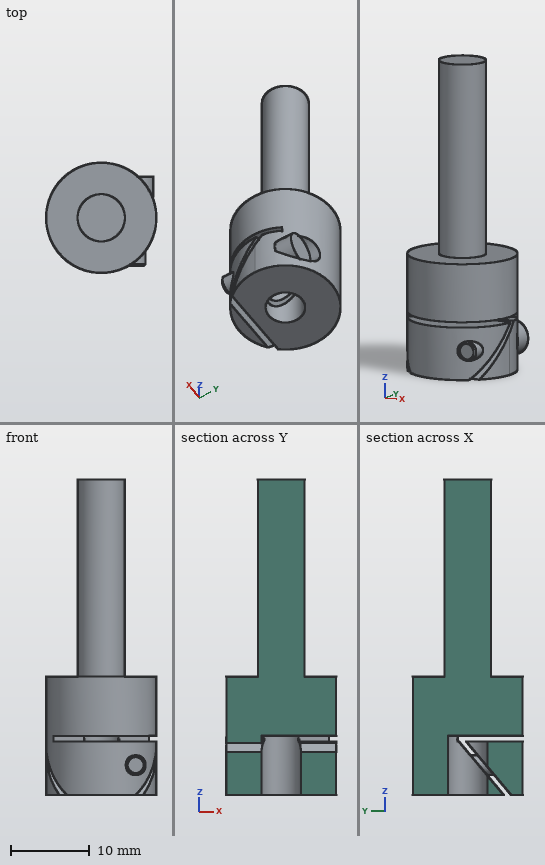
import cadquery as cq
import math

total_height = 40.0
hub_diameter = 14.0
hub_height = 15.0
shank_diameter = 6.0
bore_diameter = 5.0

slit_width = 0.7
slit_top = hub_height / 2
flat_slit_angle = 30.0
sloped_slit_angle = 40.0
sloped_slit_base_y = -5.05

screw_x = 4.35
screw_z = 3.8
screw_diameter = 2.5
screw_tip_y = -6.1
screw_tip_chamfer = 0.25
head_diameter = 4.5
head_length = 2.5
head_end_y = 5.2


def make_hub():
    hub = cq.Workplane("XY").circle(hub_diameter / 2).extrude(hub_height)
    shank = cq.Workplane("XY").circle(shank_diameter / 2).extrude(total_height)
    bore = cq.Workplane("XY").circle(bore_diameter / 2).extrude(slit_top)
    return hub.union(shank).cut(bore)


def make_flat_slit():
    """Horizontal slit across half the hub, ending in a wall through the hub axis."""
    half_slab = cq.Workplane("XY").box(
        hub_diameter, hub_diameter, slit_width, centered=(True, False, False)
    ).translate((0, -hub_diameter, slit_top - slit_width))
    return half_slab.rotate((0, 0, 0), (0, 0, 1), flat_slit_angle)


def make_sloped_slit():
    """Square-ended slit through X, leaning toward +Y as it rises."""
    angle = math.radians(sloped_slit_angle)
    length = (slit_top - slit_width / 2 * math.sin(angle)) / math.cos(angle)
    overrun = slit_width
    blade = cq.Workplane("XY").box(
        hub_diameter, slit_width, length + overrun, centered=(True, True, False)
    ).translate((0, 0, -overrun))
    return blade.rotate((0, 0, 0), (1, 0, 0), -sloped_slit_angle).translate((0, sloped_slit_base_y, 0))


def cylinder_along_y(diameter, start_y, end_y):
    """Cylinder on the screw axis between two Y positions."""
    return (
        cq.Workplane("XZ", origin=(screw_x, start_y, screw_z))
        .circle(diameter / 2)
        .extrude(start_y - end_y)
    )


def make_screw():
    stem = cylinder_along_y(screw_diameter, screw_tip_y, head_end_y).faces("<Y").chamfer(screw_tip_chamfer)
    head = cylinder_along_y(head_diameter, head_end_y - head_length, head_end_y)
    return stem.union(head)


def make_screw_hole():
    """Stem hole toward -Y and head pocket toward +Y."""
    head_seat_y = head_end_y - head_length
    stem_hole = cylinder_along_y(screw_diameter, -hub_diameter / 2, head_seat_y)
    head_pocket = cylinder_along_y(head_diameter, head_seat_y, hub_diameter / 2)
    return stem_hole.union(head_pocket)


hub = make_hub().cut(make_flat_slit()).cut(make_sloped_slit()).cut(make_screw_hole())
result = hub.union(make_screw())